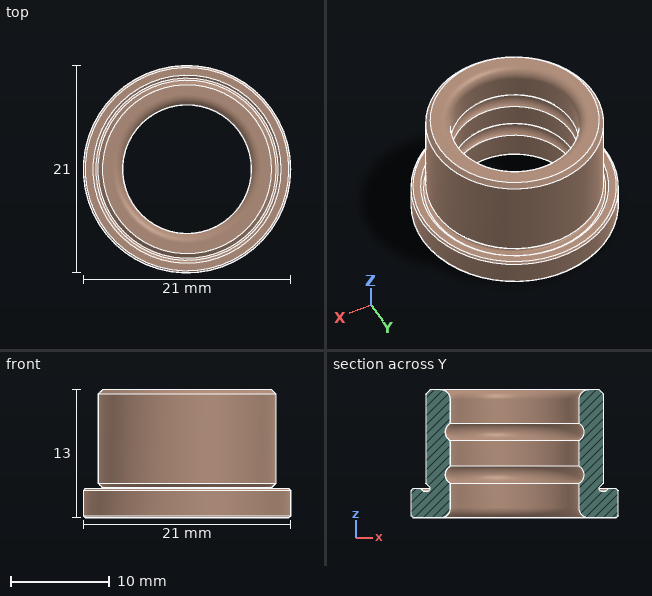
import cadquery as cq
import math

height = 13.0
flange_radius = 10.5
flange_height = 3.0
flange_chamfer = 0.2
body_radius = 9.0
body_chamfer = 0.46

bore_radius = 6.5
mouth_radius = 1.0
groove_count = 2
groove_radius = 1.0
groove_depth = 0.5
groove_spacing = 4.33
lower_groove_height = 4.37

relief_reach = 0.5
relief_depth = 0.3
neck_radius = 8.57
neck_fillet = 0.3


def make_blank():
    flange = cq.Workplane("XY").circle(flange_radius).extrude(flange_height)
    flange = flange.faces("<Z or >Z").edges().chamfer(flange_chamfer)
    body = cq.Workplane("XY").circle(body_radius).extrude(height)
    body = body.faces(">Z").edges().chamfer(body_chamfer)
    return flange.union(body)


def make_bore():
    bore = cq.Workplane("XY").circle(bore_radius).extrude(height)
    mouth_outer = bore_radius + mouth_radius
    sag = mouth_radius * (1 - math.sqrt(0.5))
    for end, inward in ((0, 1), (height, -1)):
        mouth = (
            cq.Workplane("XZ")
            .moveTo(0, end)
            .lineTo(mouth_outer, end)
            .threePointArc((bore_radius + sag, end + inward * sag), (bore_radius, end + inward * mouth_radius))
            .lineTo(0, end + inward * mouth_radius)
            .close()
            .revolve(360, (0, 0, 0), (0, 1, 0))
        )
        bore = bore.union(mouth)
    return bore


def make_grooves():
    half_width = math.sqrt(groove_depth * (2 * groove_radius - groove_depth))
    grooves = cq.Workplane("XY")
    for index in range(groove_count):
        middle = lower_groove_height + index * groove_spacing
        bottom = middle - half_width
        top = middle + half_width
        groove = (
            cq.Workplane("XZ")
            .moveTo(0, bottom)
            .lineTo(bore_radius, bottom)
            .threePointArc((bore_radius + groove_depth, middle), (bore_radius, top))
            .lineTo(0, top)
            .close()
            .revolve(360, (0, 0, 0), (0, 1, 0))
        )
        grooves = grooves.add(groove)
    return grooves.combine()


def make_relief():
    floor = flange_height - relief_depth
    body_edge = flange_height + relief_reach
    flange_edge = body_radius + relief_reach
    cone_end_height = body_edge - (body_radius - neck_radius)
    fillet_sag = neck_fillet * (1 - math.sqrt(0.5))
    return (
        cq.Workplane("XZ")
        .moveTo(body_radius, body_edge)
        .lineTo(neck_radius, cone_end_height)
        .lineTo(neck_radius, floor + neck_fillet)
        .threePointArc((neck_radius + fillet_sag, floor + fillet_sag), (neck_radius + neck_fillet, floor))
        .lineTo(flange_edge - relief_depth, floor)
        .lineTo(flange_edge, flange_height)
        .lineTo(flange_edge, body_edge)
        .close()
        .revolve(360, (0, 0, 0), (0, 1, 0))
    )


result = make_blank().cut(make_bore()).cut(make_grooves()).cut(make_relief())